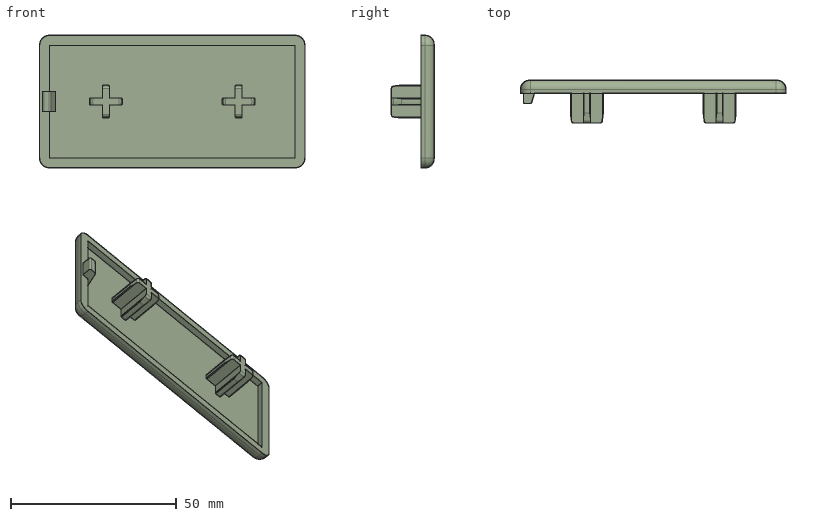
import cadquery as cq
import math

plate_length = 80.0
plate_height = 40.0
plate_thickness = 4.0
corner_radius = 3.0
edge_radius = 2.8

rim_width = 3.0
recess_depth = 1.8

post_spacing = 40.0
post_reach = 9.0
post_span = 10.0
arm_thickness = 2.2
tip_length = 3.0
tip_inset = 0.4
tip_radius = 0.7
shank_edge_chamfer = 0.2

hook_height = 6.0
hook_reach = 3.1
hook_outer_x = 0.9 - plate_length / 2
hook_root_width = 3.9
hook_tip_width = 2.4
hook_edge_radius = 0.6


def make_plate():
    plate = (
        cq.Workplane("XY")
        .box(plate_length, plate_thickness, plate_height, centered=(True, False, True))
        .edges("|Y")
        .fillet(corner_radius)
        .faces(">Y")
        .edges()
        .fillet(edge_radius)
    )
    recess = cq.Workplane("XY").box(
        plate_length - 2 * rim_width,
        recess_depth,
        plate_height - 2 * rim_width,
        centered=(True, False, True),
    )
    return plate.cut(recess)


def make_post_envelope():
    """Round pin about the Y axis that bounds the arms: straight shank, then a slightly conical tip."""
    radius = post_span / 2
    return (
        cq.Workplane("XY")
        .moveTo(0, recess_depth)
        .lineTo(radius, recess_depth)
        .lineTo(radius, tip_length - post_reach)
        .lineTo(radius - tip_inset, -post_reach)
        .lineTo(0, -post_reach)
        .close()
        .revolve(360, (0, 0, 0), (0, 1, 0))
        .faces("<Y")
        .edges()
        .fillet(tip_radius)
    )


def make_post():
    """Two crossing blades trimmed to the round envelope, with softened edges along the shank."""
    blade = cq.Workplane("XY").box(post_span, 2 * post_reach, arm_thickness)
    cross = blade.union(blade.rotate((0, 0, 0), (0, 1, 0), 90))
    post = cross.intersect(make_post_envelope())
    shank_middle = (recess_depth + tip_length - post_reach) / 2
    inner_limit = post_span / 4
    shank_edges = [
        edge
        for edge in post.edges("|Y").vals()
        if math.hypot(edge.Center().x, edge.Center().z) > inner_limit
        and abs(edge.Center().y - shank_middle) < post_reach / 4
    ]
    return post.newObject(shank_edges).chamfer(shank_edge_chamfer)


def make_hook():
    return (
        cq.Workplane("XY")
        .moveTo(hook_outer_x, 0)
        .lineTo(hook_outer_x, -hook_reach)
        .lineTo(hook_outer_x + hook_tip_width, -hook_reach)
        .lineTo(hook_outer_x + hook_root_width, recess_depth)
        .lineTo(hook_outer_x, recess_depth)
        .close()
        .extrude(hook_height / 2, both=True)
        .faces("<Y")
        .edges("|Z")
        .fillet(hook_edge_radius)
    )


result = make_plate().union(make_hook())
for side in (-1, 1):
    result = result.union(make_post().translate((side * post_spacing / 2, 0, 0)))